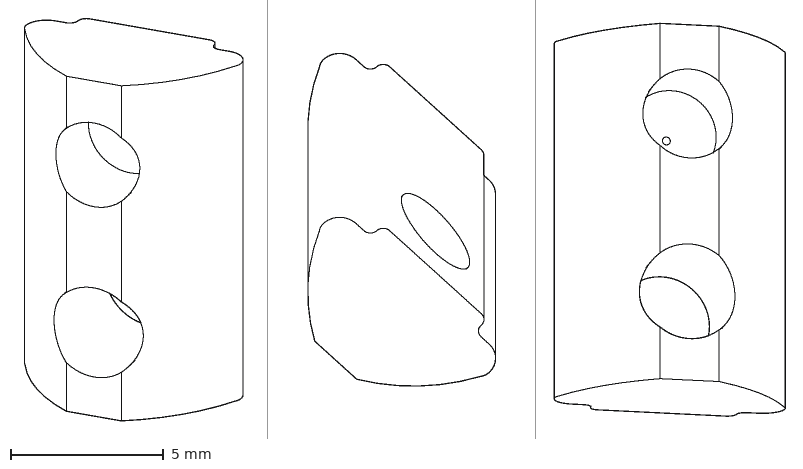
import cadquery as cq
import math

LENGTH = 12.0
HALF_WIDTH = 3.85
DEPTH = 4.6

NOSE_HALF_WIDTH = 0.98
PAD_HALF_WIDTH = 2.44
STEP_RADIUS = 0.3
LOBE_RADIUS = 0.75
HEEL_RADIUS = 0.5
HEEL_DROP = 0.3
FLANK_MID_X = 2.68
FLANK_MID_Y = 1.37

HOLE_SPACING = 6.0
THROUGH_DIAMETER = 3.19
BLIND_DIAMETER = 3.0
BLIND_DEPTH = 3.0
TIP_DIAMETER = 0.26
TIP_ANGLE = 118.0

shoulder_y = DEPTH - 2 * STEP_RADIUS
lobe_x = HALF_WIDTH - LOBE_RADIUS
lobe_y = shoulder_y - LOBE_RADIUS
heel_x = HALF_WIDTH - HEEL_RADIUS + math.sqrt(HEEL_RADIUS**2 - HEEL_DROP**2)
heel_y = lobe_y - HEEL_DROP
lobe_mid = (lobe_x + LOBE_RADIUS * math.cos(math.pi / 4), lobe_y + LOBE_RADIUS * math.sin(math.pi / 4))


def make_body():
    """Half profile closed along the YZ plane, extruded and mirrored."""
    half = (
        cq.Workplane("XY")
        .lineTo(NOSE_HALF_WIDTH, 0)
        .threePointArc((FLANK_MID_X, FLANK_MID_Y), (heel_x, heel_y))
        .radiusArc((HALF_WIDTH, lobe_y), -HEEL_RADIUS)
        .threePointArc(lobe_mid, (lobe_x, shoulder_y))
        .lineTo(PAD_HALF_WIDTH + STEP_RADIUS, shoulder_y)
        .radiusArc((PAD_HALF_WIDTH, shoulder_y + STEP_RADIUS), STEP_RADIUS)
        .radiusArc((PAD_HALF_WIDTH - STEP_RADIUS, DEPTH), -STEP_RADIUS)
        .lineTo(0, DEPTH)
        .close()
        .extrude(LENGTH)
    )
    return half.union(half.mirror("YZ")).clean()


def through_hole(z):
    """Straight bore through the whole depth."""
    return cq.Workplane("XZ", origin=(0, 0, z)).circle(THROUGH_DIAMETER / 2).extrude(-DEPTH)


def blind_hole(z):
    """Blind bore with a conical bottom ending in a small flat."""
    radius = BLIND_DIAMETER / 2
    tip_radius = TIP_DIAMETER / 2
    cone_depth = (radius - tip_radius) / math.tan(math.radians(TIP_ANGLE / 2))
    return (
        cq.Workplane("XY", origin=(0, 0, z))
        .lineTo(radius, 0)
        .lineTo(radius, BLIND_DEPTH)
        .lineTo(tip_radius, BLIND_DEPTH + cone_depth)
        .lineTo(0, BLIND_DEPTH + cone_depth)
        .close()
        .revolve(360, (0, 0, 0), (0, 1, 0))
    )


lower_z = (LENGTH - HOLE_SPACING) / 2
upper_z = lower_z + HOLE_SPACING

result = make_body().cut(through_hole(lower_z)).cut(blind_hole(upper_z))